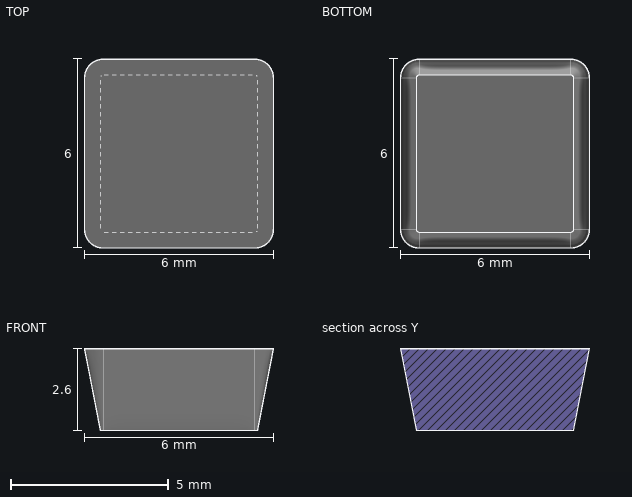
import cadquery as cq

side_length = 6.0
thickness = 2.6
relief_angle = 11.0
nose_radius = 0.6

top_outline = cq.Sketch().rect(side_length, side_length).vertices().fillet(nose_radius)

result = (
    cq.Workplane("XY")
    .workplane(offset=thickness)
    .placeSketch(top_outline)
    .extrude(-thickness, taper=relief_angle)
)